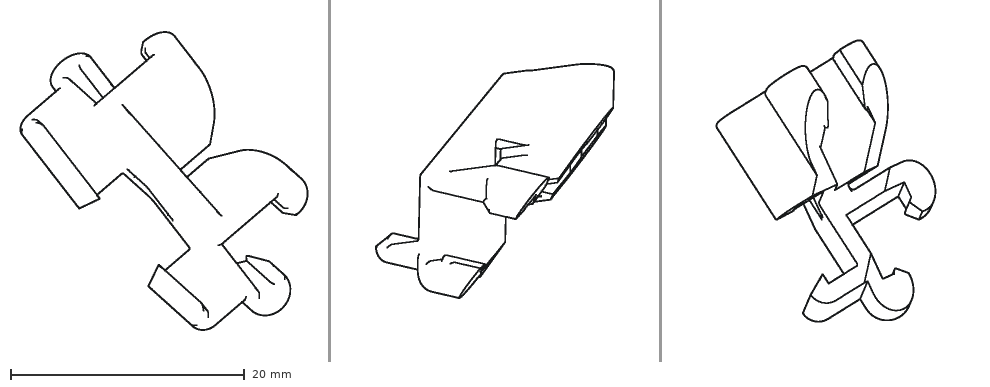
import cadquery as cq
import math


LEG = 10.43
CLIP_START = 0.6
WALL = 1.5
POCKET = 6.1
BEAD_RADIUS = 2.08
BEAD_OFFSET = 0.7
LIP_BASE = 1.3
LIP_TIP = 1.55
LIP_RISE = 0.4
LIP_END_ANGLE = 8.0
BLOCK_DEPTH = 2 * WALL
EDGE_RADIUS = 0.4
SMALL_RADIUS = 0.15

TRIM_SUM_B = -6.3
TRIM_SUM_A = -5.39

HOOK_INNER = 5.7
HOOK_THICKNESS = 1.58
HOOK_HEIGHT = 3.25
HOOK_TIP = 0.97
HOOK_DROP = 0.25
HOOK_END_RADIUS = 0.25

HOLE_FACE = 3.85
HOLE_SLANT_SUM = 3.02
HOLE_CORNER = 0.4

TURN_X = 112.63
TURN_Y = -25.52
TURN_Z = 7.24

FAR = 52.55
TOLERANCE = 0.003
SQRT_HALF = math.sqrt(0.5)


def mirrored(body):
    """The body mirrored in the plane a = b."""
    return body.mirror((1, -1, 0), (0, 0, 0))


def extruded_along_clip(section):
    """Extrude a section of the a-c plane over the length of the clip that runs along b."""
    return section.extrude(CLIP_START - LEG).translate((0, CLIP_START, 0))


def edges_near(body, points):
    """The edge of the body closest to each point."""
    def nearest(point):
        vertex = cq.Vertex.makeVertex(*point)
        return min(body.val().Edges(), key=vertex.distance)

    return body.newObject([nearest(point) for point in points])


def clip():
    """Two jaws around a square pocket, alike under exchange of a and c."""
    pocket_end = WALL + POCKET
    bead = (pocket_end + BEAD_OFFSET, BEAD_RADIUS)
    turn = math.radians(LIP_END_ANGLE)

    def on_bead(angle):
        return (bead[0] + BEAD_RADIUS * math.cos(angle), bead[1] + BEAD_RADIUS * math.sin(angle))

    jaw = [
        (bead[0], 0),
        on_bead(turn / 2),
        on_bead(math.pi / 2 + turn),
        (pocket_end - LIP_RISE, WALL + LIP_TIP),
        (pocket_end, WALL + LIP_BASE),
        (pocket_end, WALL),
    ]
    plate_jaw = [(-x, -y) for x, y in jaw]
    wall_jaw = [(y, x) for x, y in plate_jaw]
    section = (
        cq.Workplane("XZ")
        .lineTo(*plate_jaw[0])
        .threePointArc(plate_jaw[1], plate_jaw[2])
        .lineTo(*plate_jaw[3])
        .lineTo(*plate_jaw[4])
        .lineTo(*plate_jaw[5])
        .lineTo(-WALL, -WALL)
        .lineTo(*wall_jaw[5])
        .lineTo(*wall_jaw[4])
        .lineTo(*wall_jaw[3])
        .lineTo(*wall_jaw[2])
        .threePointArc(wall_jaw[1], wall_jaw[0])
        .close()
    )
    return extruded_along_clip(section)


def hook():
    """Hook on the plate's outer face, opening towards the corner block."""
    back = -HOOK_INNER - HOOK_THICKNESS
    diagonal = HOOK_THICKNESS * SQRT_HALF
    lip = HOOK_HEIGHT - HOOK_DROP
    section = (
        cq.Workplane("XZ")
        .moveTo(-HOOK_INNER, -WALL / 2)
        .lineTo(back, -WALL / 2)
        .lineTo(back, HOOK_HEIGHT)
        .threePointArc(
            (-HOOK_INNER - diagonal, HOOK_HEIGHT + diagonal),
            (-HOOK_INNER, HOOK_HEIGHT + HOOK_THICKNESS),
        )
        .lineTo(-HOOK_INNER + HOOK_TIP, lip)
        .lineTo(-HOOK_INNER, lip)
        .close()
    )
    return extruded_along_clip(section)


def trim(total):
    """Everything on the inner side of the slanted cut."""
    cut = cq.Plane(origin=(0, 0, total), normal=(-1, -1, -1), xDir=(1, -1, 0))
    return cq.Workplane(cut).rect(FAR, FAR).extrude(FAR)


def clip_with_hook(trim_sum):
    """Clip along b with its hook, small roundings and slanted cut."""
    middle = LEG / 2
    lip_along = -WALL - LIP_TIP
    lip_across = LIP_RISE - WALL - POCKET
    foot = (-HOOK_INNER, middle, 0)
    crests = [(lip_along, middle, lip_across), (lip_across, middle, lip_along)]
    hook_end = (
        -HOOK_INNER + HOOK_TIP / 2,
        CLIP_START,
        HOOK_HEIGHT + (HOOK_THICKNESS - HOOK_DROP) / 2,
    )
    body = clip().union(hook())
    body = edges_near(body, [foot]).fillet(SMALL_RADIUS)
    body = edges_near(body, crests).fillet(SMALL_RADIUS)
    body = edges_near(body, [hook_end]).fillet(HOOK_END_RADIUS)
    return body.cut(trim(trim_sum))


def corner_outline():
    """Triangle between the two walls, with a rounded inner corner."""
    middle = CLIP_START * SQRT_HALF
    return (
        cq.Workplane("XY")
        .moveTo(0, CLIP_START)
        .threePointArc((middle, middle), (CLIP_START, 0))
        .lineTo(LEG, 0)
        .lineTo(0, LEG)
        .close()
    )


def cove():
    """Concave rounding between the back of the corner block and the wall along b."""
    middle = EDGE_RADIUS * (1 - SQRT_HALF)
    section = (
        cq.Workplane("XZ")
        .moveTo(0, -BLOCK_DEPTH)
        .lineTo(EDGE_RADIUS, -BLOCK_DEPTH)
        .threePointArc((middle, -BLOCK_DEPTH - middle), (0, -BLOCK_DEPTH - EDGE_RADIUS))
        .close()
    )
    limit = corner_outline().extrude(-BLOCK_DEPTH - EDGE_RADIUS)
    return extruded_along_clip(section).intersect(limit)


def hole():
    """Hole through the block, flush with the outer faces of the two walls."""
    outline = [
        (HOLE_FACE, HOLE_FACE),
        (0, HOLE_FACE),
        (0, HOLE_SLANT_SUM),
        (HOLE_SLANT_SUM, 0),
        (HOLE_FACE, 0),
    ]
    corner_edge = cq.selectors.NearestToPointSelector((HOLE_FACE, HOLE_FACE, -BLOCK_DEPTH / 2))
    return (
        cq.Workplane("XY")
        .polyline(outline)
        .close()
        .extrude(-BLOCK_DEPTH - EDGE_RADIUS)
        .edges("|Z")
        .edges(corner_edge)
        .fillet(HOLE_CORNER)
    )


def round_hole(body):
    """Round the front rim along the walls and both rims of the slanted face."""
    along_wall = (HOLE_FACE + HOLE_SLANT_SUM) / 2
    half = HOLE_SLANT_SUM / 2
    rims = [
        (0, along_wall, 0),
        (half, half, 0),
        (along_wall, 0, 0),
        (half, half, -BLOCK_DEPTH),
    ]
    return edges_near(body, rims).fillet(EDGE_RADIUS)


def round_ends(body):
    """Round every edge of the clips' outer ends and of the block's slanted face."""
    def is_outer(edge):
        points = [edge.startPoint(), edge.positionAt(0.5), edge.endPoint()]
        distances = ([p.x for p in points], [p.y for p in points], [p.x + p.y for p in points])
        return any(min(d) > LEG - TOLERANCE for d in distances)

    return body.newObject([e for e in body.val().Edges() if is_outer(e)]).fillet(EDGE_RADIUS)


corner = corner_outline().extrude(-BLOCK_DEPTH).union(cove()).union(mirrored(cove()))
clips = corner.union(clip_with_hook(TRIM_SUM_B)).union(mirrored(clip_with_hook(TRIM_SUM_A)))
rounded = round_ends(round_hole(clips.cut(hole())))

result = (
    rounded
    .rotate((0, 0, 0), (1, 0, 0), TURN_X)
    .rotate((0, 0, 0), (0, 1, 0), TURN_Y)
    .rotate((0, 0, 0), (0, 0, 1), TURN_Z)
)